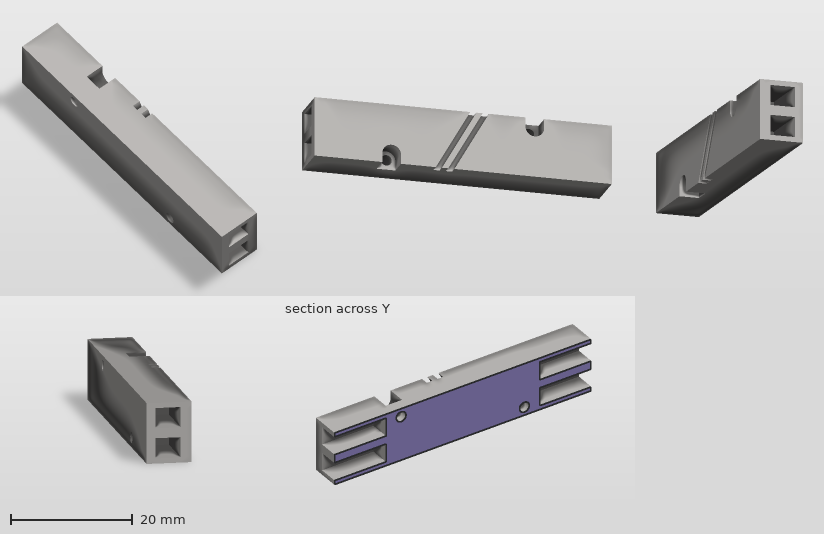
import cadquery as cq
import math

length = 50.7
width = 7.5
height = 10.2

socket_width = 4.2
socket_height = 3.4
socket_depth = 10.15
socket_back_wall = 1.8
socket_edge_wall = 0.85

cross_hole_diameter = 1.8
cross_hole_edge_distance = 1.6
hole_x = 13.2

notch_x = 13.15
notch_width = 3.2
notch_depth = 3.4
notch_straight_height = 1.55

groove_width = 1.05
groove_depth = 1.4
groove_pitch = 2.15
groove_angle_from_horizontal = 60
groove_pair_middle_x = 25.5
groove_run = height / math.tan(math.radians(groove_angle_from_horizontal))


def box_at(size_x, size_y, size_z, x, y, z):
    """Box with its lowest corner at the given position."""
    return cq.Workplane("XY").box(size_x, size_y, size_z, centered=False).translate((x, y, z))


def cross_hole():
    """Round cutter through the full width, near the top edge."""
    hole_z = height - cross_hole_edge_distance
    return cq.Workplane("XZ").center(hole_x, hole_z).circle(cross_hole_diameter / 2).extrude(-width)


def round_notch():
    """U-shaped cutter open at the top and back faces."""
    radius = notch_width / 2
    tangent_z = height - notch_straight_height
    return (
        cq.Workplane("XZ", origin=(notch_x, width - notch_depth, 0))
        .moveTo(-radius, height)
        .lineTo(-radius, tangent_z)
        .threePointArc((0, tangent_z - radius), (radius, tangent_z))
        .lineTo(radius, height)
        .close()
        .extrude(-notch_depth)
    )


def groove(middle_x):
    """Slanted cutter in the back face, moving toward +X on its way down."""
    top_left = middle_x - (groove_run + groove_width) / 2
    bottom_left = top_left + groove_run
    return (
        cq.Workplane("XZ", origin=(0, width - groove_depth, 0))
        .polyline([
            (top_left, height),
            (top_left + groove_width, height),
            (bottom_left + groove_width, 0),
            (bottom_left, 0),
        ])
        .close()
        .extrude(-groove_depth)
    )


def turned(shape):
    """Shape after a half turn about the middle axis of the block along Y."""
    middle = (length / 2, 0, height / 2)
    return shape.rotate(middle, (length / 2, width, height / 2), 180)


result = box_at(length, width, height, 0, 0, 0)

socket_y = width - socket_back_wall - socket_width
upper_socket_z = height - socket_edge_wall - socket_height
half_cutters = [
    box_at(socket_depth, socket_width, socket_height, 0, socket_y, socket_edge_wall),
    box_at(socket_depth, socket_width, socket_height, 0, socket_y, upper_socket_z),
    cross_hole(),
    round_notch(),
]
for cutter in half_cutters:
    result = result.cut(cutter).cut(turned(cutter))

for side in (-1, 1):
    result = result.cut(groove(groove_pair_middle_x + side * groove_pitch / 2))